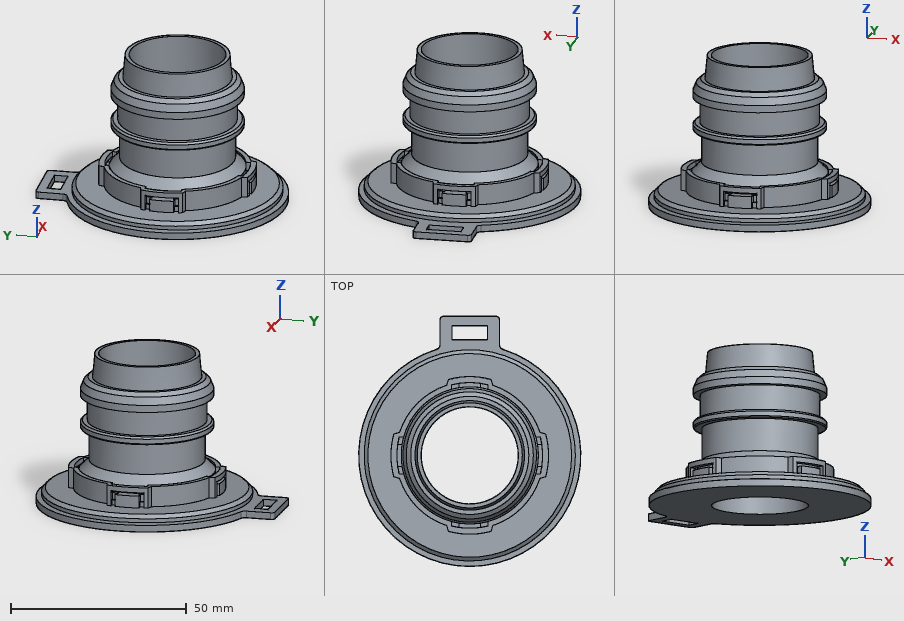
import cadquery as cq
import math

plate_radius = 31.6
plate_top = 2.0
tab_end_y = 39.55
tab_width = 16.9
tab_corner_radius = 1.0
tab_root_radius = 1.4
strap_slot_length = 10.0
strap_slot_width = 3.9
strap_slot_center_y = 34.85

bore_radius = 27.5 / 2
hub_radius = 39.4 / 2
core_radius = 39.0 / 2
lower_neck_radius = 33.1 / 2
upper_neck_radius = 34.1 / 2
bead_radius = 38.0 / 2
shoulder_top = 12.9
shoulder_bottom = shoulder_top - (core_radius - lower_neck_radius)
bead_bottom = 22.2
bead_top = 24.5
bead_lower_chamfer = 0.35
bead_upper_chamfer = 0.6
barb_bottom = 31.8
barb_edge = 33.85
barb_break_z = 36.05
barb_break_radius = 18.1
barb_top = 37.2
barb_top_radius = 16.8
tip_base_radius = 15.6
tip_radius = 14.9
spout_top = 44.0

flange_radius = 60.0 / 2
flange_bottom = 2.35
flange_top = 4.55
flange_chamfer = 1.1
collar_radius = 21.0
collar_top = 10.5

latch_count = 4
latch_radius = 22.4
latch_root_half_width = 6.55
latch_outer_half_width = 6.05
pocket_radius = 20.7
pocket_width = 10.45
window_width = 9.7
window_top = 9.0
sill_radius = 21.35
sill_top = 6.05
lug_top = 8.05
lug_arm_width = 6.2
lug_head_width = 7.0


def disc(radius, bottom, top):
    """Cylinder on the Z axis between two heights."""
    return cq.Workplane("XY").workplane(offset=bottom).circle(radius).extrude(top - bottom)


def radial_bar(width, outer_radius, bottom, top):
    """Bar from the Z axis toward +X, ending in a round face of the given radius."""
    bar = (
        cq.Workplane("XY")
        .workplane(offset=bottom)
        .center(outer_radius / 2, 0)
        .rect(outer_radius, width)
        .extrude(top - bottom)
    )
    return bar.intersect(disc(outer_radius, bottom, top))


def latch_copies(shape):
    """Copies of a shape, one at each latch position."""
    step = 360 / latch_count
    return [shape.rotate((0, 0, 0), (0, 0, 1), i * step) for i in range(latch_count)]


def make_base_plate():
    """Disc with a rounded strap tab toward +Y and a slot through the tab."""
    tab = cq.Workplane("XY").center(0, tab_end_y / 2).rect(tab_width, tab_end_y).extrude(plate_top)
    tab = tab.edges("|Z and >Y").fillet(tab_corner_radius)
    plate = disc(plate_radius, 0, plate_top).union(tab)

    root_x = tab_width / 2
    root_y = math.sqrt(plate_radius**2 - root_x**2)
    margin = 0.35
    root_box = cq.selectors.BoxSelector(
        (-root_x - margin, root_y - margin, -margin),
        (root_x + margin, root_y + margin, plate_top + margin),
    )
    plate = plate.edges("|Z").edges(root_box).fillet(tab_root_radius)

    strap_slot = (
        cq.Workplane("XY")
        .center(0, strap_slot_center_y)
        .rect(strap_slot_length, strap_slot_width)
        .extrude(plate_top)
    )
    return plate.cut(strap_slot)


def make_spout_tube():
    """Solid turned body: hub, shoulder, necks, bead, barb and tapered tip."""
    outline = [
        (0, 0),
        (hub_radius, 0),
        (hub_radius, flange_bottom),
        (core_radius, flange_bottom),
        (core_radius, shoulder_bottom),
        (lower_neck_radius, shoulder_top),
        (lower_neck_radius, bead_bottom),
        (bead_radius - bead_lower_chamfer, bead_bottom),
        (bead_radius, bead_bottom + bead_lower_chamfer),
        (bead_radius, bead_top - bead_upper_chamfer),
        (bead_radius - bead_upper_chamfer, bead_top),
        (upper_neck_radius, bead_top),
        (upper_neck_radius, barb_bottom),
        (bead_radius, barb_bottom),
        (bead_radius, barb_edge),
        (barb_break_radius, barb_break_z),
        (barb_top_radius, barb_top),
        (tip_base_radius, barb_top),
        (tip_radius, spout_top),
        (0, spout_top),
    ]
    return cq.Workplane("XZ").polyline(outline).close().revolve(360, (0, 0, 0), (0, 1, 0))


def make_lug():
    """Snap lug: a narrow arm inside the pocket and a wider head in the window."""
    arm = radial_bar(lug_arm_width, latch_radius, flange_top, lug_top)
    head = radial_bar(lug_head_width, latch_radius, flange_top, lug_top)
    head = head.cut(disc(pocket_radius, flange_top, lug_top))
    return arm.union(head)


def make_spout():
    """Base plate, tube and snap lugs in one piece, bored through."""
    spout = make_base_plate().union(make_spout_tube())
    for lug in latch_copies(make_lug()):
        spout = spout.union(lug)
    return spout.cut(disc(bore_radius, 0, spout_top))


def make_latch_boss():
    """Raised pad on the collar, slightly wider at its root."""
    root_x = math.sqrt(collar_radius**2 - latch_root_half_width**2)
    outer_x = math.sqrt(latch_radius**2 - latch_outer_half_width**2)
    return (
        cq.Workplane("XY")
        .workplane(offset=flange_top)
        .moveTo(0, -latch_root_half_width)
        .lineTo(root_x, -latch_root_half_width)
        .lineTo(outer_x, -latch_outer_half_width)
        .threePointArc((latch_radius, 0), (outer_x, latch_outer_half_width))
        .lineTo(root_x, latch_root_half_width)
        .lineTo(0, latch_root_half_width)
        .close()
        .extrude(collar_top - flange_top)
    )


def make_latch_opening():
    """Pocket open at the top with its floor level with the lug, and a window with a stepped sill."""
    pocket = radial_bar(pocket_width, pocket_radius, lug_top, collar_top)
    window = radial_bar(window_width, latch_radius, flange_top, window_top)
    window = window.cut(disc(pocket_radius, flange_top, lug_top))
    window = window.cut(disc(sill_radius, flange_top, sill_top))
    return pocket.union(window)


def make_locking_ring():
    """Flange and collar with latch openings, fitted around the spout."""
    flange = disc(flange_radius, flange_bottom, flange_top).faces(">Z").chamfer(flange_chamfer)
    ring = flange.union(disc(collar_radius, flange_top, collar_top))
    for boss in latch_copies(make_latch_boss()):
        ring = ring.union(boss)
    for opening in latch_copies(make_latch_opening()):
        ring = ring.cut(opening)
    ring = ring.cut(disc(core_radius, flange_bottom, collar_top))
    for lug in latch_copies(make_lug()):
        ring = ring.cut(lug)
    return ring


spout = make_spout()
locking_ring = make_locking_ring()

result = cq.Compound.makeCompound([spout.val(), locking_ring.val()])